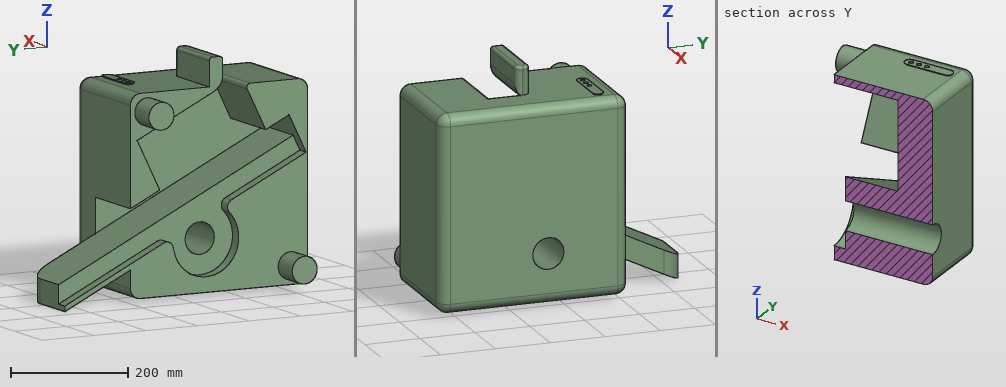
import cadquery as cq
import math

housing_x = 197.0
housing_y = 343.0
housing_z = 355.5
housing_round = 19.5

peg_diameter = 48.5
peg_length = 50.7
peg_centres = [(310.0, 323.0), (33.0, 33.0)]

slope = math.radians(26)
hole_y = 197.0
hole_z = 90.5
hole_diameter = 56.5

pocket_depth = 127.0
chute_top = 67.5
chute_bottom = 28.5
chute_tip_y = 470.0
chute_corner_radius = 36.0
pocket_roof = 223.5
roof_end = 39.0
lip_height = 124.0
pocket_far_end = -234.0
notch_end = -183.5
notch_height = 113.0
pocket_mouth_round = 6.5

recess_depth = 22.5
recess_bottom = 37.5
recess_hub_radius = 63.5
recess_blend = 13.5

tab_near_y = 164.5
tab_far_y = 190.5
tab_top = 407.0
tab_root_round = 31.5
tab_end_round = 11.7
tab_top_round = 6.0

indicator_x = 128.0
indicator_y = 298.5
indicator_length = 95.5
indicator_width = 20.0
indicator_height = 3.5
indicator_undercut = 3.0
dot_diameter = 8.0
dot_pitch = 16.0
dot_first_x = 92.0
dot_count = 3

beyond = 94.0


def sloped(along, above):
    """Y, Z of a point given in the sloping frame."""
    y = hole_y + along * math.cos(slope) + above * math.sin(slope)
    z = hole_z - along * math.sin(slope) + above * math.cos(slope)
    return y, z


def at_y(y, above):
    """Y, Z of the point at the given Y on a sloping line."""
    along = (y - hole_y - above * math.sin(slope)) / math.cos(slope)
    return sloped(along, above)


def at_z(z, along):
    """Y, Z of the point at the given Z on a line square to the slope."""
    above = (z - hole_z + along * math.sin(slope)) / math.cos(slope)
    return sloped(along, above)


def prism(points, depth):
    """Outline in Y, Z extruded forward from the back face."""
    return cq.Workplane("YZ").polyline(points).close().extrude(depth)


def make_housing():
    body = cq.Workplane("XY").box(housing_x, housing_y, housing_z, centered=False)
    return body.edges("|X or >X").fillet(housing_round)


def make_tab_profile():
    """Tab outline, whose rounded root runs into the pocket roof."""
    outline = [
        (tab_near_y, tab_top),
        (tab_far_y, tab_top),
        at_y(tab_far_y, pocket_roof),
        at_y(tab_near_y, pocket_roof),
    ]
    return prism(outline, pocket_depth).faces("<Y").edges("<Z").fillet(tab_root_round)


def make_pocket():
    mouth_y = at_z(housing_z, notch_end)[0]
    outline = [
        (tab_far_y, housing_z + beyond),
        at_y(tab_far_y, pocket_roof),
        sloped(roof_end, pocket_roof),
        sloped(roof_end, lip_height),
        at_y(housing_y + beyond, lip_height),
        at_y(housing_y + beyond, chute_top),
        sloped(pocket_far_end, chute_top),
        sloped(pocket_far_end, notch_height),
        sloped(notch_end, notch_height),
        (mouth_y, housing_z),
        (mouth_y, housing_z + beyond),
    ]
    return prism(outline, pocket_depth)


def make_chute():
    """Sloping shelf that runs out past the housing."""
    outline = [
        at_y(hole_y, chute_top),
        at_y(chute_tip_y, chute_top),
        at_y(chute_tip_y, chute_bottom),
        at_y(hole_y, chute_bottom),
    ]
    return prism(outline, pocket_depth).edges("|Z and >X and >Y").fillet(chute_corner_radius)


def make_recess():
    band = prism(
        [
            sloped(pocket_far_end, recess_bottom),
            sloped(pocket_far_end, chute_top),
            at_y(chute_tip_y + beyond, chute_top),
            at_y(chute_tip_y + beyond, recess_bottom),
        ],
        recess_depth,
    )
    hub = cq.Workplane("YZ").center(hole_y, hole_z).circle(recess_hub_radius).extrude(recess_depth)
    half_chord = math.sqrt(recess_hub_radius**2 - recess_bottom**2)
    recess = band.union(hub)
    for along in (-half_chord, half_chord):
        corner = (recess_depth / 2, *sloped(along, recess_bottom))
        recess = recess.edges(cq.selectors.NearestToPointSelector(corner)).fillet(recess_blend)
    return recess


def make_tab():
    block = (
        cq.Workplane("XY")
        .box(pocket_depth, tab_far_y - tab_near_y, tab_top, centered=False)
        .translate((0, tab_near_y, 0))
        .edges("|Z and >X")
        .fillet(tab_end_round)
        .faces(">Z")
        .edges("not <X")
        .fillet(tab_top_round)
    )
    return block.intersect(make_tab_profile())


def make_indicator():
    bar = (
        cq.Workplane("XY", origin=(indicator_x, indicator_y, housing_z))
        .slot2D(indicator_length, indicator_width)
        .extrude(indicator_height)
        .faces("<Z")
        .edges()
        .chamfer(indicator_undercut)
    )
    dot_places = [(dot_first_x + i * dot_pitch, indicator_y) for i in range(dot_count)]
    dots = (
        cq.Workplane("XY", origin=(0, 0, housing_z))
        .pushPoints(dot_places)
        .circle(dot_diameter / 2)
        .extrude(indicator_height)
    )
    return bar.cut(dots)


body = make_housing().cut(make_pocket().cut(make_tab_profile()))

mouth_edge = (pocket_depth / 2, *at_z(housing_z, notch_end))
body = body.edges(cq.selectors.NearestToPointSelector(mouth_edge)).fillet(pocket_mouth_round)

body = body.union(make_chute()).cut(make_recess())
body = body.union(make_tab()).union(make_indicator())

pegs = cq.Workplane("YZ").pushPoints(peg_centres).circle(peg_diameter / 2).extrude(-peg_length)
body = body.union(pegs)

hole = cq.Workplane("YZ").center(hole_y, hole_z).circle(hole_diameter / 2).extrude(housing_x)
result = body.cut(hole)